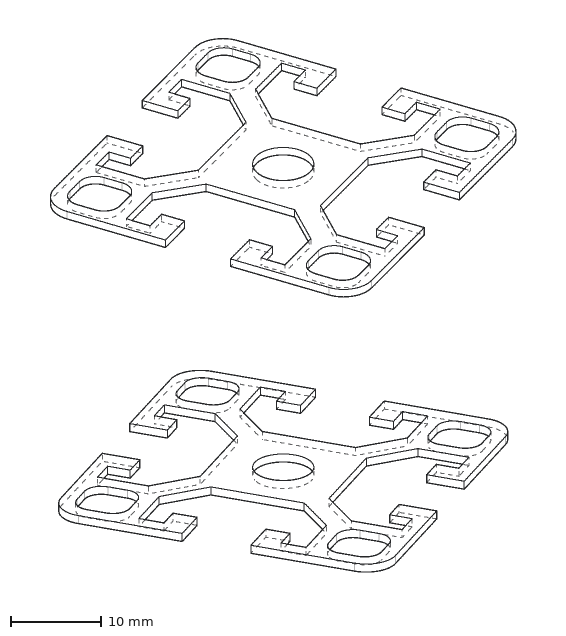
import cadquery as cq
import math

side = 40.0
thickness = 1.0
corner_radius = 3.5
wall = 1.8

slot_opening = 8.2
slot_cavity_width = 20.0
lip_depth = 4.5
lip_recess_width = 14.0

core_width = 15.4
core_bore_diameter = 6.8
web_thickness = 3.0

chamber_size = 6.3
chamber_radius = 2.0

half_side = side / 2
chamber_center = half_side - wall - chamber_size / 2
side_angles = (0, 90, 180, 270)


def make_blank():
    """Square plate with rounded corners, standing on Z = 0."""
    return cq.Workplane("XY").rect(side, side).extrude(thickness).edges("|Z").fillet(corner_radius)


def make_slot_cutter():
    """T-slot void on the +Y side, with flanks at 45 degrees along the webs."""
    web_offset = web_thickness / math.sqrt(2)
    opening_x = slot_opening / 2
    recess_x = lip_recess_width / 2
    cavity_x = slot_cavity_width / 2
    floor_y = core_width / 2
    lip_y = half_side - lip_depth
    right_half = [
        (opening_x, half_side),
        (opening_x, lip_y),
        (recess_x, lip_y),
        (recess_x, half_side - wall),
        (cavity_x, half_side - wall),
        (cavity_x, cavity_x + web_offset),
        (floor_y - web_offset, floor_y),
    ]
    left_half = [(-x, y) for x, y in reversed(right_half)]
    return cq.Workplane("XY").polyline(right_half + left_half).close().extrude(thickness)


def make_chamber_cutters():
    """Rounded square voids, one in each corner."""
    spacing = 2 * chamber_center
    return (
        cq.Workplane("XY")
        .rarray(spacing, spacing, 2, 2)
        .rect(chamber_size, chamber_size)
        .extrude(thickness)
        .edges("|Z")
        .fillet(chamber_radius)
    )


def make_bore_cutter():
    """Round through hole at the center of the core."""
    return cq.Workplane("XY").circle(core_bore_diameter / 2).extrude(thickness)


result = make_blank().cut(make_chamber_cutters()).cut(make_bore_cutter())
slot_cutter = make_slot_cutter()
for angle in side_angles:
    result = result.cut(slot_cutter.rotate((0, 0, 0), (0, 0, 1), angle))